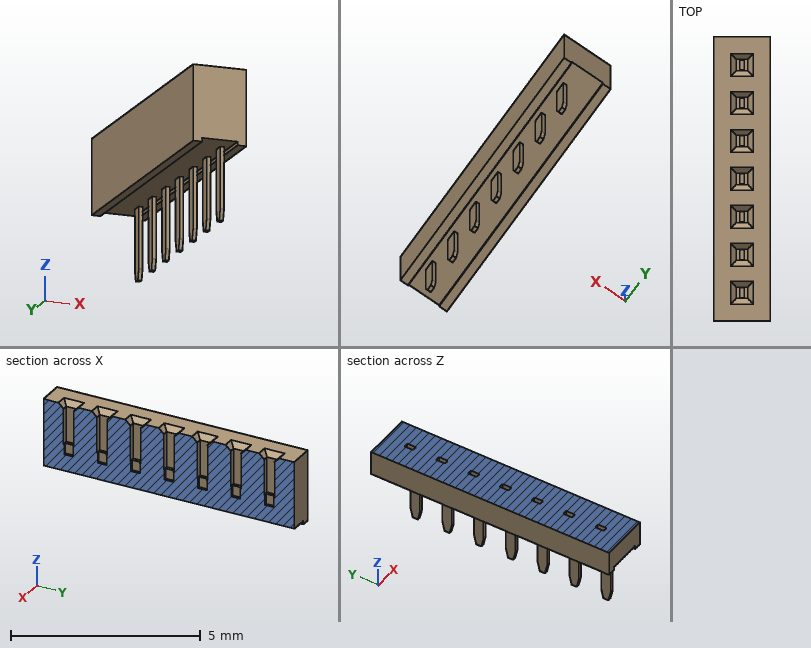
import cadquery as cq

pin_count = 7
pitch = 1.0
body_width = 1.5
body_length = 7.5
body_height = 2.1

foot_width = 0.25
foot_height = 0.1

mouth_size = 0.6
shaft_size = 0.3
lead_in_depth = 0.15
shaft_depth = 1.2
slot_width = 0.12
slot_length = 0.26
slot_depth = 0.3

tail_thickness = 0.11
tail_width = 0.3
tail_offset = 0.295
tail_drop = 1.9
tip_width = 0.16
tip_length = 0.3

pin_positions = [(i - (pin_count - 1) / 2) * pitch for i in range(pin_count)]


def make_housing():
    block = cq.Workplane("XY").box(body_width, body_length, body_height, centered=(True, True, False))
    channel_width = body_width - 2 * foot_width
    channel = cq.Workplane("XY").box(channel_width, body_length, foot_height, centered=(True, True, False))
    return block.cut(channel)


def make_socket(y):
    """Void of one socket, from the top face down to the bottom of its contact slot."""
    top = cq.Workplane("XY", origin=(0, y, body_height))
    lead_in = (
        top.rect(mouth_size, mouth_size)
        .workplane(offset=-lead_in_depth)
        .rect(shaft_size, shaft_size)
        .loft(ruled=True)
    )
    shaft = top.rect(shaft_size, shaft_size).extrude(-shaft_depth)
    slot = top.rect(slot_width, slot_length).extrude(-(shaft_depth + slot_depth))
    return lead_in.union(shaft).union(slot)


def make_tail(y):
    """Solder tail hanging from the channel roof, centred on its socket along Y."""
    half_width = tail_width / 2
    half_tip = tip_width / 2
    shoulder_z = tip_length - tail_drop
    return (
        cq.Workplane("YZ", origin=(tail_offset, y, 0))
        .moveTo(-half_width, foot_height)
        .lineTo(-half_width, shoulder_z)
        .lineTo(-half_tip, -tail_drop)
        .lineTo(half_tip, -tail_drop)
        .lineTo(half_width, shoulder_z)
        .lineTo(half_width, foot_height)
        .close()
        .extrude(tail_thickness / 2, both=True)
    )


result = make_housing()
for pin_y in pin_positions:
    result = result.cut(make_socket(pin_y))
    result = result.union(make_tail(pin_y))